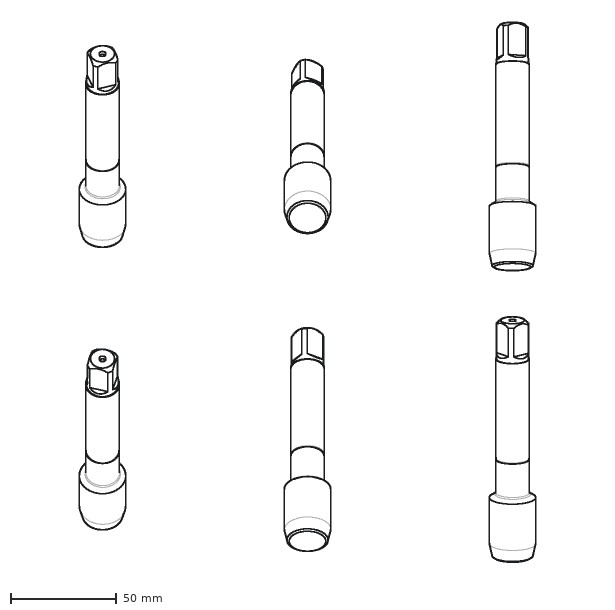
import cadquery as cq
import math

total_length = 118.0

head_diameter = 22.2
head_top = 29.9
lead_top = 7.0
lead_bottom_diameter = 19.6
tip_chamfer_top = 1.0
tip_face_edge = 0.2
tip_diameter = 17.5

shoulder_angle = 33.0
shoulder_fillet = 1.0
neck_diameter = 16.0
neck_top = 48.9

shank_diameter = 16.0
shank_end_diameter = 15.7
shank_chamfer_top = 49.6
shank_top = 98.8

drive_diameter = 15.3
square_width = 12.5
square_bottom = 102.1
top_face_diameter = 11.5
top_chamfer_height = 1.8

center_diameter = 2.0
center_depth = 3.5
countersink_diameter = 3.3
countersink_angle = 60.0


def make_cutting_head():
    """Head with a conical tip, tapered lead, filleted shoulder and neck, turned as one solid."""
    slope = math.radians(shoulder_angle)
    head_radius = head_diameter / 2
    neck_radius = neck_diameter / 2
    shoulder_meets_neck = head_top + (head_radius - neck_radius) * math.tan(slope)

    turn = math.pi / 2 - slope
    tangent_length = shoulder_fillet * math.tan(turn / 2)
    fillet_start = (
        neck_radius + tangent_length * math.cos(slope),
        shoulder_meets_neck - tangent_length * math.sin(slope),
    )
    fillet_end = (neck_radius, shoulder_meets_neck + tangent_length)
    middle_angle = math.pi + turn / 2
    fillet_middle = (
        neck_radius + shoulder_fillet * (1 + math.cos(middle_angle)),
        fillet_end[1] + shoulder_fillet * math.sin(middle_angle),
    )

    return (
        cq.Workplane("XZ")
        .moveTo(0, 0)
        .lineTo(tip_diameter / 2, tip_face_edge)
        .lineTo(lead_bottom_diameter / 2, tip_chamfer_top)
        .lineTo(head_radius, lead_top)
        .lineTo(head_radius, head_top)
        .lineTo(*fillet_start)
        .threePointArc(fillet_middle, fillet_end)
        .lineTo(neck_radius, neck_top)
        .lineTo(0, neck_top)
        .close()
        .revolve(360, (0, 0), (0, 1))
    )


def make_shank_blank():
    """Turned shank and drive end, before the square is cut."""
    profile = [
        (0, neck_top),
        (shank_end_diameter / 2, neck_top),
        (shank_diameter / 2, shank_chamfer_top),
        (shank_diameter / 2, shank_top),
        (drive_diameter / 2, shank_top),
        (drive_diameter / 2, total_length - top_chamfer_height),
        (top_face_diameter / 2, total_length),
        (0, total_length),
    ]
    return cq.Workplane("XZ").polyline(profile).close().revolve(360, (0, 0), (0, 1))


def make_flat_cutter():
    """Cutter for the +X flat, with a 45 degree run-out at its lower end."""
    flat = square_width / 2
    reach = shank_diameter / 2
    profile = [
        (flat, square_bottom),
        (reach, square_bottom - (reach - flat)),
        (reach, total_length),
        (flat, total_length),
    ]
    return cq.Workplane("XZ").polyline(profile).close().extrude(reach, both=True)


def make_shank():
    """Shank with its driving square and center hole."""
    shank = make_shank_blank()
    flat_cutter = make_flat_cutter()
    for angle in (0, 90, 180, 270):
        shank = shank.cut(flat_cutter.rotate((0, 0, 0), (0, 0, 1), angle))
    return (
        shank.faces(">Z")
        .workplane()
        .cskHole(center_diameter, countersink_diameter, countersink_angle, center_depth)
    )


cutting_head = make_cutting_head()
shank = make_shank()

result = cq.Compound.makeCompound([cutting_head.val(), shank.val()])